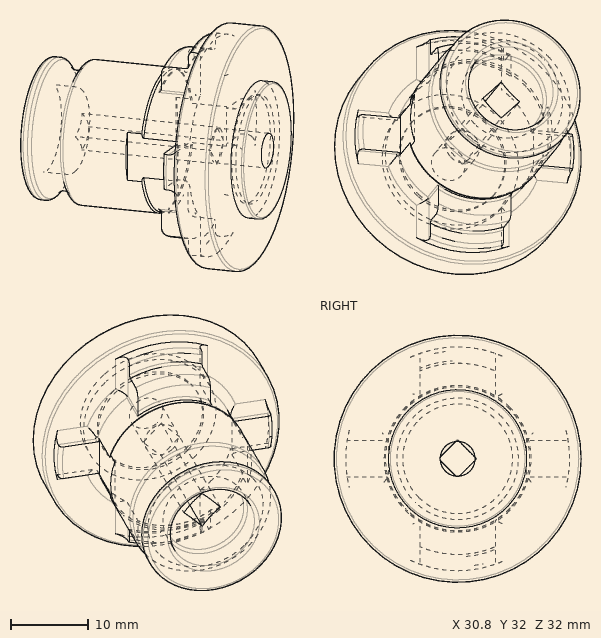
import cadquery as cq
import math

BODY_END = 16.77
FLAT_START = 14.8
EAR_FRONT = 17.95
LUG_FRONT = 21.73
FLANGE_FRONT = 23.8
FLANGE_BACK = 28.5
REAR_DISK_FRONT = 29.1
TOTAL_LENGTH = 30.8

LIP_R = 18.65 / 2
BODY_R = 19.0 / 2
NECK_R = 18.65 / 2
FLANGE_R = 32 / 2
REAR_GROOVE_R = 14.2 / 2
REAR_DISK_R = 17.9 / 2

GROOVE_X = 3.55
GROOVE_FLOOR_R = 7.87
GROOVE_ARC_R = 4.5 / 2

RIM_ROUND = 0.5
ROOT_ROUND = 0.32
FLANGE_ROUND = 1.3
FLANGE_EDGE_ROUND = 0.32
REAR_EDGE_ROUND = 0.22
EAR_NOSE_ROUND = 2.0 / 2

EAR_HALF_WIDTH = 4.9
LUG_HALF_WIDTH = 2.37
KEY_END = FLANGE_FRONT + FLANGE_EDGE_ROUND
TIP_R = 14.5
EAR_STEP_R = 22.8 / 2 + EAR_NOSE_ROUND

FLAT_Y = REAR_DISK_R

BORE_R = 11.4 / 2
BORE_WALL_END = 3.7
FLOOR_SLOPE = math.radians(18)
SQUARE_HALF_DIAGONAL = 2.45
REAR_BORE_R = 4.5 / 2
REAR_BORE_DEPTH = TOTAL_LENGTH - FLANGE_FRONT

TOLERANCE = 0.0003


def arc_mid(center, radius, start, end):
    """Point on a circle halfway (the short way) between two of its points."""
    dx = (start[0] + end[0]) / 2 - center[0]
    dy = (start[1] + end[1]) / 2 - center[1]
    scale = radius / math.hypot(dx, dy)
    return (center[0] + dx * scale, center[1] + dy * scale)


def quarter_mid(x, r, radius, x_side, r_side):
    """Middle of a quarter round at the corner (x, r), on the given side of it along each axis."""
    inset = radius * (1 - math.sqrt(0.5))
    return (x + x_side * inset, r + r_side * inset)


def revolve_x(profile):
    """Revolve a closed XY profile about the X axis."""
    return profile.close().revolve(360, (0, 0, 0), (1, 0, 0))


def groove_rim(outer_r, side):
    """Rim rounding beside the groove: its center, groove tangent point and outer tangent point."""
    groove_center_r = GROOVE_FLOOR_R + GROOVE_ARC_R
    center_r = outer_r - RIM_ROUND
    reach = GROOVE_ARC_R + RIM_ROUND
    offset = side * math.sqrt(reach**2 - (groove_center_r - center_r) ** 2)
    share = GROOVE_ARC_R / reach
    center = (GROOVE_X + offset, center_r)
    on_groove = (
        GROOVE_X + offset * share,
        groove_center_r + (center_r - groove_center_r) * share,
    )
    return center, on_groove, (center[0], outer_r)


def turned_body():
    """Lip, locking groove, body, neck and rear core as one turned solid."""
    lip_center, lip_low, lip_high = groove_rim(LIP_R, -1)
    body_center, body_low, body_high = groove_rim(BODY_R, 1)
    step = BODY_R - NECK_R
    step_run = math.sqrt(ROOT_ROUND**2 - (ROOT_ROUND - step) ** 2)
    step_center = (BODY_END + step_run, NECK_R + ROOT_ROUND)
    step_start = (BODY_END, BODY_R)
    step_end = (step_center[0], NECK_R)
    root_center = (FLANGE_FRONT - FLANGE_ROUND, NECK_R + FLANGE_ROUND)
    root_start = (root_center[0], NECK_R)
    root_end = (FLANGE_FRONT, root_center[1])
    front_start = (0, LIP_R - RIM_ROUND)
    front_end = (RIM_ROUND, LIP_R)
    profile = (
        cq.Workplane("XY")
        .lineTo(*front_start)
        .threePointArc(
            quarter_mid(0, LIP_R, RIM_ROUND, 1, -1),
            front_end,
        )
        .lineTo(*lip_high)
        .threePointArc(arc_mid(lip_center, RIM_ROUND, lip_high, lip_low), lip_low)
        .threePointArc((GROOVE_X, GROOVE_FLOOR_R), body_low)
        .threePointArc(arc_mid(body_center, RIM_ROUND, body_low, body_high), body_high)
        .lineTo(*step_start)
        .threePointArc(arc_mid(step_center, ROOT_ROUND, step_start, step_end), step_end)
        .lineTo(*root_start)
        .threePointArc(arc_mid(root_center, FLANGE_ROUND, root_start, root_end), root_end)
        .lineTo(FLANGE_FRONT, REAR_GROOVE_R)
        .lineTo(TOTAL_LENGTH, REAR_GROOVE_R)
        .lineTo(TOTAL_LENGTH, 0)
    )
    return revolve_x(profile)


def disk(x_start, x_end, radius):
    return cq.Workplane("YZ", origin=(x_start, 0, 0)).circle(radius).extrude(x_end - x_start)


def flange():
    return disk(FLANGE_FRONT, FLANGE_BACK, FLANGE_R).faces("<X or >X").edges().fillet(FLANGE_EDGE_ROUND)


def rear_disk():
    return disk(REAR_DISK_FRONT, TOTAL_LENGTH, REAR_DISK_R).faces(">X").edges().fillet(REAR_EDGE_ROUND)


def straight_bar(half_width):
    """Bar across the axis along Y with plain flanks, ending inside the flange."""
    length = KEY_END - EAR_FRONT
    bar = cq.Workplane("XY").box(length, 2 * FLANGE_R, 2 * half_width, centered=(False, True, True))
    return bar.translate((EAR_FRONT, 0, 0))


def flared_bar(half_width):
    """Bar across the axis along Y, flaring with concave rounds into the flange."""
    flare = half_width + FLANGE_ROUND
    flare_start = FLANGE_FRONT - FLANGE_ROUND
    bend = FLANGE_ROUND * math.sqrt(0.5)
    profile = (
        cq.Workplane("XZ")
        .moveTo(EAR_FRONT, -half_width)
        .lineTo(flare_start, -half_width)
        .threePointArc((flare_start + bend, -flare + bend), (FLANGE_FRONT, -flare))
        .lineTo(KEY_END, -flare)
        .lineTo(KEY_END, flare)
        .lineTo(FLANGE_FRONT, flare)
        .threePointArc((flare_start + bend, flare - bend), (flare_start, half_width))
        .lineTo(EAR_FRONT, half_width)
        .close()
    )
    return profile.extrude(FLANGE_R, both=True)


def tip_envelope():
    """Turned envelope that gives ears and lugs their stepped, rounded tips."""
    profile = (
        cq.Workplane("XY")
        .moveTo(EAR_FRONT, 0)
        .lineTo(EAR_FRONT, EAR_STEP_R - EAR_NOSE_ROUND)
        .threePointArc(
            quarter_mid(EAR_FRONT, EAR_STEP_R, EAR_NOSE_ROUND, 1, -1),
            (EAR_FRONT + EAR_NOSE_ROUND, EAR_STEP_R),
        )
        .lineTo(LUG_FRONT - ROOT_ROUND, EAR_STEP_R)
        .threePointArc(
            quarter_mid(LUG_FRONT, EAR_STEP_R, ROOT_ROUND, -1, 1),
            (LUG_FRONT, EAR_STEP_R + ROOT_ROUND),
        )
        .lineTo(LUG_FRONT, TIP_R - RIM_ROUND)
        .threePointArc(quarter_mid(LUG_FRONT, TIP_R, RIM_ROUND, 1, -1), (LUG_FRONT + RIM_ROUND, TIP_R))
        .lineTo(KEY_END, TIP_R)
        .lineTo(KEY_END, 0)
    )
    return revolve_x(profile)


def side_flats():
    """Cutter for the flats on both sides; it also trims the lugs back to their front face."""
    length = LUG_FRONT - FLAT_START
    depth = FLANGE_R - FLAT_Y
    cutter = cq.Workplane("XY")
    for side in (-1, 1):
        box = cq.Workplane("XY").box(length, depth, 2 * EAR_HALF_WIDTH, centered=(False, True, True))
        cutter = cutter.add(box.translate((FLAT_START, side * (FLAT_Y + depth / 2), 0)))
    return cutter


def bore():
    """Front bore with a rounded mouth and a round leading into its conical floor."""
    mouth_bend = quarter_mid(0, BORE_R, RIM_ROUND, 1, 1)
    floor_start_x = BORE_WALL_END + RIM_ROUND * math.cos(FLOOR_SLOPE)
    floor_start_r = BORE_R - RIM_ROUND * (1 - math.sin(FLOOR_SLOPE))
    half = (math.pi / 2 - FLOOR_SLOPE) / 2
    bend = (
        BORE_WALL_END + RIM_ROUND * math.sin(half),
        BORE_R - RIM_ROUND * (1 - math.cos(half)),
    )
    profile = (
        cq.Workplane("XY")
        .lineTo(0, BORE_R + RIM_ROUND)
        .threePointArc(mouth_bend, (RIM_ROUND, BORE_R))
        .lineTo(BORE_WALL_END, BORE_R)
        .threePointArc(bend, (floor_start_x, floor_start_r))
        .lineTo(floor_start_x + floor_start_r * math.tan(FLOOR_SLOPE), 0)
    )
    return revolve_x(profile)


def square_hole():
    """Square hole standing on a corner, reaching the rear bore."""
    square = cq.Workplane("YZ").polyline(
        [
            (SQUARE_HALF_DIAGONAL, 0),
            (0, SQUARE_HALF_DIAGONAL),
            (-SQUARE_HALF_DIAGONAL, 0),
            (0, -SQUARE_HALF_DIAGONAL),
        ]
    )
    return square.close().extrude(TOTAL_LENGTH - REAR_BORE_DEPTH)


def rear_bore():
    return disk(TOTAL_LENGTH - REAR_BORE_DEPTH, TOTAL_LENGTH, REAR_BORE_R)


def on_neck(edge):
    """True for an edge that lies on the neck surface along the root of an ear or a lug."""
    points = [edge.positionAt(t) for t in (0, 0.5, 1)]
    touches = all(abs(math.hypot(p.y, p.z) - NECK_R) < TOLERANCE for p in points)
    from_ear_front = abs(edge.BoundingBox().xmin - EAR_FRONT) < TOLERANCE
    return touches and from_ear_front


def crossed_bars(bar):
    """Ears and lugs: a wide bar along Z crossing a narrow bar along Y, with turned tips."""
    ears = bar(EAR_HALF_WIDTH).rotate((0, 0, 0), (1, 0, 0), 90)
    return ears.union(bar(LUG_HALF_WIDTH)).intersect(tip_envelope())


def rooted_keys():
    """Straight-sided ears and lugs blended into the neck by a small root round."""
    neck = disk(BODY_END, KEY_END, NECK_R)
    keys = neck.union(crossed_bars(straight_bar))
    roots = [edge for edge in keys.edges().vals() if on_neck(edge)]
    return keys.newObject(roots).fillet(ROOT_ROUND)


solid = turned_body().union(rooted_keys()).union(crossed_bars(flared_bar))
solid = solid.union(flange()).union(rear_disk())
result = solid.cut(side_flats()).cut(bore()).cut(square_hole()).cut(rear_bore())